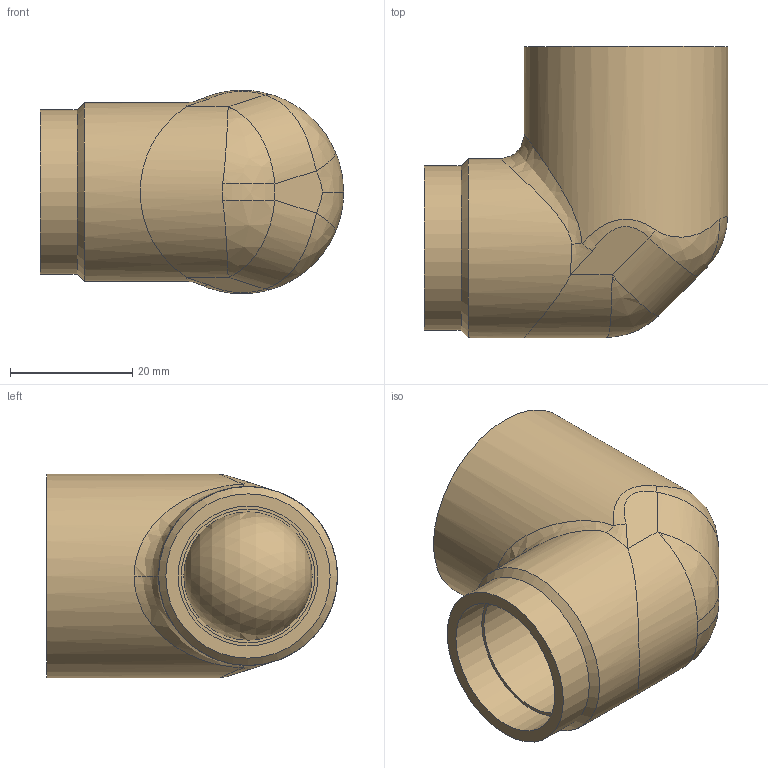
import cadquery as cq
import math

arm_length = 33.0
spigot_arm_radius = 29.3 / 2
socket_arm_radius = 33.3 / 2

spigot_radius = 26.9 / 2
spigot_length = 6.0
shoulder_step = spigot_arm_radius - spigot_radius

mouth_radius = 22.9 / 2
mouth_depth = 6.0
bore_radius = 21.9 / 2
ball_radius = 10.5

slope_angle = math.radians(17.5)
flat_distance = 11.6
flat_edge_radius = 12.8
bend_radius = 12.0
blend_radius = 4.0

tangent_y = -spigot_arm_radius * math.sin(slope_angle)
tangent_z = spigot_arm_radius * math.cos(slope_angle)

reach = 2 * arm_length
arm_overlap_end = -6.0


def plane_height(y):
    """Height of the upper sloping plane at a given Y."""
    return tangent_z + math.tan(slope_angle) * (y - tangent_y)


def edges_centred_in(body, low, high):
    """Edges whose centres lie in a box given by its two corners."""
    return body.edges(cq.selectors.BoxSelector(low, high)).vals()


def as_solid(body):
    """The single solid of a body, free of any compound around it."""
    return cq.Workplane(body.solids().val())


def socket_arm():
    depth = arm_length + spigot_arm_radius
    return cq.Workplane("XZ", origin=(0, arm_length, 0)).circle(socket_arm_radius).extrude(depth)


def spigot_arm():
    length = arm_length + arm_overlap_end
    return cq.Workplane("YZ", origin=(-arm_length, 0, 0)).circle(spigot_arm_radius).extrude(length)


def opened_arm_section():
    """Prism along X: the spigot arm section opened towards +Y along its tangent planes."""
    return (
        cq.Workplane("YZ", origin=(-reach, 0, 0))
        .moveTo(tangent_y, tangent_z)
        .lineTo(reach, plane_height(reach))
        .lineTo(reach, -plane_height(reach))
        .lineTo(tangent_y, -tangent_z)
        .threePointArc((-spigot_arm_radius, 0), (tangent_y, tangent_z))
        .close()
        .extrude(2 * reach)
    )


def flat_envelope():
    """Space between the sloping planes, closed by the 45 degree flat with rounded edges."""
    near_y = -spigot_arm_radius
    wedge = (
        cq.Workplane("YZ", origin=(-reach, 0, 0))
        .moveTo(near_y, plane_height(near_y))
        .lineTo(reach, plane_height(reach))
        .lineTo(reach, -plane_height(reach))
        .lineTo(near_y, -plane_height(near_y))
        .close()
        .extrude(2 * reach)
    )
    outside = (
        cq.Workplane("XY")
        .transformed(rotate=(0, 0, -45))
        .center(flat_distance + 2 * reach, 0)
        .rect(4 * reach, 8 * reach)
        .extrude(2 * reach, both=True)
    )
    flat_side = cq.selectors.DirectionMinMaxSelector(cq.Vector(1, -1, 0))
    return wedge.cut(outside).faces(flat_side).edges("not |Z").fillet(flat_edge_radius)


def round_spigot_side(body):
    """Round the outside of the bend where the spigot arm meets the flat."""
    low = (0, -socket_arm_radius, -spigot_arm_radius)
    high = (spigot_arm_radius / 2, -spigot_arm_radius / 2, spigot_arm_radius)
    return as_solid(body.newObject(edges_centred_in(body, low, high)).fillet(bend_radius))


def blend_socket_arm(body):
    """Blend the socket arm into the spigot arm, the sloping planes and the flat.

    The radius is the small blend inside the elbow and along the sloping planes,
    and grows to the bend radius on the way round to the flat.
    """
    inner_low = (-socket_arm_radius, spigot_arm_radius / 4, -spigot_arm_radius)
    inner_high = (-socket_arm_radius / 2, spigot_arm_radius, spigot_arm_radius)
    upper_low = (-socket_arm_radius / 2, 0, spigot_arm_radius)
    upper_high = (0, spigot_arm_radius, socket_arm_radius)

    builder = cq.occ_impl.shapes.BRepFilletAPI_MakeFillet(body.val().wrapped)
    for edge in edges_centred_in(body, inner_low, inner_high):
        builder.Add(blend_radius, edge.wrapped)

    for edge in edges_centred_in(body, upper_low, upper_high):
        builder.Add(edge.wrapped)
    contour = builder.NbContours()
    edges = [cq.Shape.cast(builder.Edge(contour, i + 1)) for i in range(builder.NbEdges(contour))]
    first_side = edges[0].Center().z
    for index, edge in enumerate(edges, start=1):
        height = edge.Center().z
        if abs(height) > spigot_arm_radius:
            builder.SetRadius(blend_radius, contour, index)
        elif abs(height) < spigot_arm_radius / 2:
            builder.SetRadius(bend_radius, contour, index)
        elif height * first_side > 0:
            builder.SetRadius(blend_radius, bend_radius, contour, index)
        else:
            builder.SetRadius(bend_radius, blend_radius, contour, index)
    builder.Build()
    return as_solid(cq.Workplane(cq.Shape.cast(builder.Shape())))


def spigot_relief():
    """Ring removed around the spigot, ending in the 45 degree shoulder."""
    shoulder_x = spigot_length - arm_length
    clear_radius = spigot_arm_radius + shoulder_step
    return (
        cq.Workplane("XY")
        .moveTo(-arm_length, spigot_radius)
        .lineTo(shoulder_x, spigot_radius)
        .lineTo(shoulder_x + 2 * shoulder_step, clear_radius)
        .lineTo(-arm_length, clear_radius)
        .close()
        .revolve(360, (0, 0, 0), (1, 0, 0))
    )


def bore():
    """Blind bore ending at the bend centre, leaving half a ball standing on its floor."""
    face = cq.Workplane("YZ", origin=(-arm_length, 0, 0))
    mouth = face.circle(mouth_radius).extrude(mouth_depth)
    main = face.circle(bore_radius).extrude(arm_length)
    ball = cq.Workplane("XZ").sphere(ball_radius)
    return main.union(mouth).cut(ball)


bend = socket_arm().intersect(opened_arm_section()).intersect(flat_envelope())
elbow = as_solid(bend.union(spigot_arm()))
elbow = blend_socket_arm(round_spigot_side(elbow))
result = elbow.cut(spigot_relief()).cut(bore())